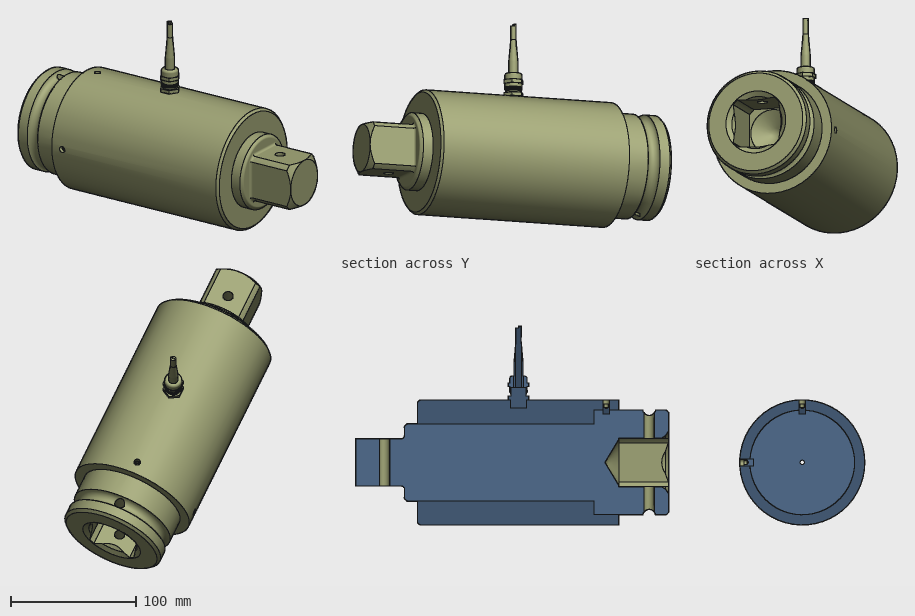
import cadquery as cq
import math

total_length = 250
drill_point_angle = 118

head_dia = 84.0
head_chamfer = 2.2
head_end = 60
collar_dia = 62.0
collar_end = 211.2
collar_chamfer = 2.2
groove_center = 15.8
groove_width = 10
groove_depth = 4.2
cross_hole_dia = 8.0

socket_side = 38.5
socket_corner_dia = 49.5
socket_depth = 40
socket_mouth_dia = 50.5
socket_throat_dia = 42.5
socket_throat_depth = 2.8
socket_lead_end_depth = 5.8
drill_dia = 36.5

drive_side = 38.0
drive_corner_dia = 48.8
drive_root_fillet = 2.0
drive_tip_length = 3.8
drive_hole_x = 226.8

sleeve_dia = 100
sleeve_start = 40
sleeve_end = 200.8
sleeve_chamfer = 2.0

screw_x = 50
screw_dia = 5
screw_length = 7.5
screw_recess = 3.5
screw_socket_dia = 3.2
screw_socket_depth = 2.5
screw_angles = (0, 90)

gland_x = 120
hex_across_flats = 14.2
stem_dia = 12.0
stem_bottom = 43.8
base_hex_top = 53.0
stem_top = 60
stem_collar_dia = 12.8
stem_collar_bottom = 54.5
seal_dia = 14.0
seal_bottom = 55.5
seal_chamfer = 0.5
cap_bottom = 57.0
cap_dia = 14.0
cap_bottom_chamfer = 0.5
cap_hex_bottom = 60.5
cap_hex_top = 63.5
cap_top = 69.0
cap_fillet = 2.0

boot_dia = 7.5
boot_straight_top = 78.8
boot_top = 96.0
cable_dia = 4.5
cable_top = 108.8
cable_step = 1.5


def rod(diameter, start, end):
    """Cylinder along the shaft axis."""
    return cq.Workplane("YZ", origin=(start, 0, 0)).circle(diameter / 2).extrude(end - start)


def post(diameter, bottom, top):
    """Upright cylinder on the gland axis."""
    return cq.Workplane("XY", origin=(gland_x, 0, bottom)).circle(diameter / 2).extrude(top - bottom)


def hex_post(bottom, top):
    """Upright hexagon on the gland axis, with corners along X."""
    across_corners = hex_across_flats / math.cos(math.pi / 6)
    return cq.Workplane("XY", origin=(gland_x, 0, bottom)).polygon(6, across_corners).extrude(top - bottom)


def rounded_square_bar(side, corner_dia, start, end):
    """Square bar along the shaft axis whose corners lie on a cylinder."""
    bar = cq.Workplane("YZ", origin=(start, 0, 0)).rect(side, side).extrude(end - start)
    return bar.intersect(rod(corner_dia, start, end))


def drill_point_length(diameter):
    """Length of the conical point that a drill leaves."""
    return diameter / 2 / math.tan(math.radians(drill_point_angle / 2))


def cross_hole(x):
    """Cutter for a vertical hole right through the shaft."""
    return (
        cq.Workplane("XY", origin=(x, 0, -head_dia / 2))
        .circle(cross_hole_dia / 2)
        .extrude(head_dia)
    )


def make_head():
    """Socket head with a chamfered mouth and a round groove."""
    radius = head_dia / 2
    return (
        cq.Workplane("XY")
        .moveTo(0, 0)
        .lineTo(0, radius - head_chamfer)
        .lineTo(head_chamfer, radius)
        .lineTo(groove_center - groove_width / 2, radius)
        .threePointArc(
            (groove_center, radius - groove_depth),
            (groove_center + groove_width / 2, radius),
        )
        .lineTo(head_end, radius)
        .lineTo(head_end, 0)
        .close()
        .revolve(360, (0, 0, 0), (1, 0, 0))
    )


def make_socket_cutter():
    """Square socket with a two-angle lead-in and a drilled bottom."""
    square = rounded_square_bar(socket_side, socket_corner_dia, 0, socket_depth)
    drill_radius = drill_dia / 2
    turned = (
        cq.Workplane("XY")
        .moveTo(0, 0)
        .lineTo(0, socket_mouth_dia / 2)
        .lineTo(socket_throat_depth, socket_throat_dia / 2)
        .lineTo(socket_lead_end_depth, socket_side / 2)
        .lineTo(socket_lead_end_depth, drill_radius)
        .lineTo(socket_depth, drill_radius)
        .lineTo(socket_depth + drill_point_length(drill_dia), 0)
        .close()
        .revolve(360, (0, 0, 0), (1, 0, 0))
    )
    return square.union(turned)


def make_drive():
    """Square drive with a root fillet and a conical tip."""
    bar = rounded_square_bar(drive_side, drive_corner_dia, collar_end, total_length)
    tip_start = total_length - drive_tip_length
    envelope = (
        cq.Workplane("XY")
        .moveTo(collar_end, 0)
        .lineTo(collar_end, drive_corner_dia / 2)
        .lineTo(tip_start, drive_corner_dia / 2)
        .lineTo(total_length, drive_side / 2)
        .lineTo(total_length, 0)
        .close()
        .revolve(360, (0, 0, 0), (1, 0, 0))
    )
    return bar.intersect(envelope)


def make_shaft():
    """One-piece shaft: socket head, plain collar and square drive."""
    collar = rod(collar_dia, head_end, collar_end).faces(">X").chamfer(collar_chamfer)
    blank = make_head().union(collar).union(make_drive())
    reach = drive_corner_dia / 2
    root_zone = cq.selectors.BoxSelector(
        (collar_end - drive_root_fillet / 2, -reach, -reach),
        (collar_end + drive_root_fillet / 2, reach, reach),
    )
    blank = blank.edges(root_zone).fillet(drive_root_fillet)
    return (
        blank
        .cut(make_socket_cutter())
        .cut(cross_hole(groove_center))
        .cut(cross_hole(drive_hole_x))
    )


def make_screw(angle):
    """Set screw sunk below the sleeve surface, with a drilled socket; angle 0 faces +Z."""
    top = sleeve_dia / 2 - screw_recess
    socket_radius = screw_socket_dia / 2
    socket_bottom = top - screw_socket_depth
    screw = (
        cq.Workplane("XZ", origin=(screw_x, 0, 0))
        .moveTo(0, top - screw_length)
        .lineTo(screw_dia / 2, top - screw_length)
        .lineTo(screw_dia / 2, top)
        .lineTo(socket_radius, top)
        .lineTo(socket_radius, socket_bottom)
        .lineTo(0, socket_bottom - drill_point_length(screw_socket_dia))
        .close()
        .revolve(360, (0, 0, 0), (0, 1, 0))
    )
    return screw.rotate((0, 0, 0), (1, 0, 0), angle)


def make_screw_hole(angle):
    """Cutter for a screw hole through the sleeve and into the head."""
    bottom = sleeve_dia / 2 - screw_recess - screw_length
    hole = (
        cq.Workplane("XY", origin=(screw_x, 0, bottom))
        .circle(screw_dia / 2)
        .extrude(sleeve_dia / 2 - bottom)
    )
    return hole.rotate((0, 0, 0), (1, 0, 0), angle)


def make_sleeve():
    """Outer sleeve bored to fit the head and the collar, with a hole for the gland stem."""
    outside = rod(sleeve_dia, sleeve_start, sleeve_end).faces(">X").chamfer(sleeve_chamfer)
    return (
        outside
        .cut(rod(head_dia, sleeve_start, head_end))
        .cut(rod(collar_dia, head_end, sleeve_end))
        .cut(post(stem_dia, stem_bottom, sleeve_dia))
    )


def make_gland_body():
    """Hexagon resting on the sleeve, with a stem and the collar that carries the seal."""
    base_hex = hex_post(sleeve_dia / 2, base_hex_top)
    collar = post(stem_collar_dia, stem_collar_bottom, seal_bottom)
    return base_hex.union(post(stem_dia, stem_bottom, stem_top)).union(collar)


def make_seal():
    """Chamfered ring between the stem collar and the cap."""
    disc = post(seal_dia, seal_bottom, cap_bottom).edges("%CIRCLE").chamfer(seal_chamfer)
    return disc.cut(post(stem_dia, seal_bottom, cap_bottom))


def make_cap():
    """Round cap nut with a hexagon band, bored for the stem and the boot."""
    barrel = (
        post(cap_dia, cap_bottom, cap_top)
        .faces(">Z").edges().fillet(cap_fillet)
        .faces("<Z").edges().chamfer(cap_bottom_chamfer)
    )
    cap = barrel.union(hex_post(cap_hex_bottom, cap_hex_top))
    return cap.cut(post(stem_dia, cap_bottom, stem_top)).cut(post(boot_dia, stem_top, cap_top))


def make_boot():
    """Sleeve round the cable that tapers down to the cable surface."""
    return (
        cq.Workplane("XZ", origin=(gland_x, 0, 0))
        .moveTo(cable_dia / 2, stem_top)
        .lineTo(boot_dia / 2, stem_top)
        .lineTo(boot_dia / 2, boot_straight_top)
        .lineTo(cable_dia / 2, boot_top)
        .close()
        .revolve(360, (0, 0, 0), (0, 1, 0))
    )


def make_cable():
    """Cable cut off square, with the +X half of its end stepped down."""
    cable = post(cable_dia, stem_top, cable_top)
    step = (
        cq.Workplane("XY", origin=(gland_x, 0, cable_top - cable_step))
        .rect(cable_dia, cable_dia)
        .extrude(cable_step)
        .translate((cable_dia / 2, 0, 0))
    )
    return cable.cut(step)


shaft = make_shaft()
sleeve = make_sleeve()
screws = []
for angle in screw_angles:
    screws.append(make_screw(angle))
    sleeve = sleeve.cut(make_screw_hole(angle))
    shaft = shaft.cut(make_screw_hole(angle))

gland_body = make_gland_body()
seal = make_seal()
cap = make_cap()
boot = make_boot()
cable = make_cable()

result = cq.Compound.makeCompound([
    shaft.val(),
    sleeve.val(),
    *[screw.val() for screw in screws],
    gland_body.val(),
    seal.val(),
    cap.val(),
    boot.val(),
    cable.val(),
])